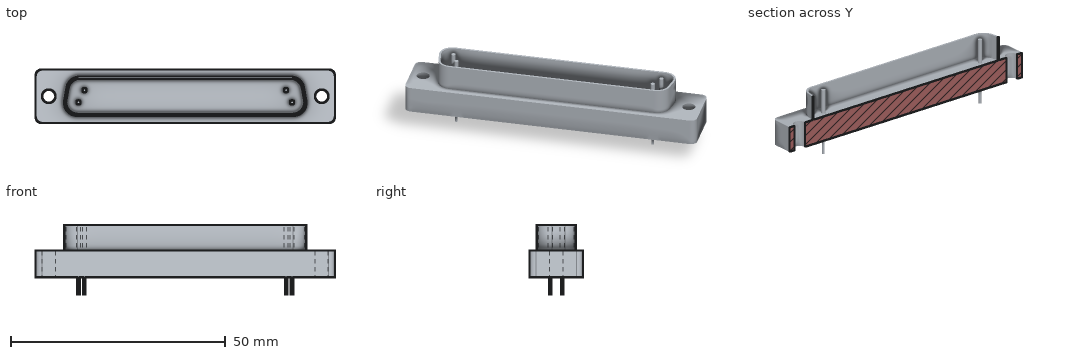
import cadquery as cq
import math

FLANGE_LENGTH = 69.7
FLANGE_WIDTH = 12.5
FLANGE_HEIGHT = 6.3
FLANGE_CORNER_RADIUS = 1.5

MOUNT_HOLE_SPACING = 63.5
MOUNT_HOLE_DIAMETER = 3.05

SHELL_HEIGHT = 5.9
SHELL_LENGTH = 56.4
SHELL_WIDTH = 9.15
SHELL_WALL = 0.5
SHELL_CORNER_RADIUS = 3.1
SHELL_SIDE_ANGLE = math.radians(10)

PIN_PITCH = 2.76
PIN_ROW_SPACING = 2.84
FRONT_ROW_COUNT = 19
BACK_ROW_COUNT = 18
CONTACT_DIAMETER = 1.0
CONTACT_HEIGHT = SHELL_HEIGHT
TAIL_DIAMETER = 0.6
TAIL_LENGTH = 4.0


def make_flange():
    """Rounded block with a through hole near each end."""
    block = (
        cq.Workplane("XY")
        .box(FLANGE_LENGTH, FLANGE_WIDTH, FLANGE_HEIGHT, centered=(True, True, False))
        .edges("|Z")
        .fillet(FLANGE_CORNER_RADIUS)
    )
    hole_x = MOUNT_HOLE_SPACING / 2
    return (
        block.faces(">Z")
        .workplane()
        .pushPoints([(-hole_x, 0), (hole_x, 0)])
        .hole(MOUNT_HOLE_DIAMETER)
    )


def make_d_prism(inset):
    """Solid D-shaped prism on the flange, its outline moved inwards by inset."""
    radius = SHELL_CORNER_RADIUS - inset
    half_width = SHELL_WIDTH / 2 - inset
    front_center_x = SHELL_LENGTH / 2 - SHELL_CORNER_RADIUS
    slant = math.tan(SHELL_SIDE_ANGLE)
    side_offset = radius / math.cos(SHELL_SIDE_ANGLE)
    front_x = front_center_x + side_offset + radius * slant
    back_x = front_x - 2 * half_width * slant
    return (
        cq.Workplane("XY")
        .workplane(offset=FLANGE_HEIGHT)
        .polyline(
            [
                (-front_x, -half_width),
                (front_x, -half_width),
                (back_x, half_width),
                (-back_x, half_width),
            ]
        )
        .close()
        .extrude(SHELL_HEIGHT)
        .edges("|Z")
        .fillet(radius)
    )


def make_shell():
    """Thin D-shaped wall standing on the flange."""
    return make_d_prism(0).cut(make_d_prism(SHELL_WALL))


def pin_positions():
    """Centres of the end pins of both rows."""
    rows = [
        (FRONT_ROW_COUNT, -PIN_ROW_SPACING / 2),
        (BACK_ROW_COUNT, PIN_ROW_SPACING / 2),
    ]
    positions = []
    for count, y in rows:
        end_x = (count - 1) * PIN_PITCH / 2
        positions += [(-end_x, y), (end_x, y)]
    return positions


def make_pins(diameter, start_z, length):
    """Round pins at every pin position, extruded along Z from start_z."""
    return (
        cq.Workplane("XY")
        .workplane(offset=start_z)
        .pushPoints(pin_positions())
        .circle(diameter / 2)
        .extrude(length)
    )


contacts = make_pins(CONTACT_DIAMETER, FLANGE_HEIGHT, CONTACT_HEIGHT)
tails = make_pins(TAIL_DIAMETER, 0, -TAIL_LENGTH)

result = make_flange().union(make_shell()).union(contacts).union(tails)